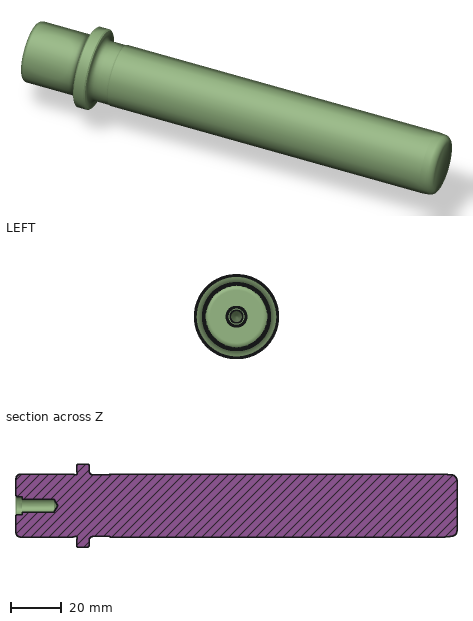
import cadquery as cq
import math

total_length = 174.0
shaft_radius = 12.5

spigot_fillet = 2.0

collar_start = 24.0
collar_width = 5.0
collar_radius = 16.5
collar_chamfer = 0.5
collar_end = collar_start + collar_width

undercut_depth = 0.3
undercut_length = 1.4
undercut_face_reach = 0.85
undercut_face_depth = 0.2
undercut_fillet = 0.6

neck_radius = 12.25
neck_fillet = 1.5
neck_end = 37.3
neck_ramp = 0.5

lead_length = 5.0
lead_drop = 0.25
tip_fillet = 2.5

hole_radius = 2.5
hole_depth = 15.0
hole_point_angle = 118.0
recess_radius = 3.5
recess_depth = 2.5
recess_chamfer = 0.5


def fillet_mid(radius):
    """Distance from the sharp corner, along each side, to the middle of a quarter-round."""
    return radius * (1 - math.sqrt(0.5))


def make_body():
    """Half profile (X along the axis, Z as radius) revolved about the X axis."""
    undercut_radius = shaft_radius - undercut_depth
    undercut_floor = collar_start + undercut_face_depth
    undercut_mid = fillet_mid(undercut_fillet)
    face_radius = shaft_radius + undercut_face_reach
    spigot_mid = fillet_mid(spigot_fillet)
    neck_mid = fillet_mid(neck_fillet)
    tip_mid = fillet_mid(tip_fillet)
    tip_radius = shaft_radius - lead_drop
    profile = (
        cq.Workplane("XZ")
        .moveTo(0, 0)
        .lineTo(0, shaft_radius - spigot_fillet)
        .threePointArc((spigot_mid, shaft_radius - spigot_mid), (spigot_fillet, shaft_radius))
        .lineTo(collar_start - undercut_length, shaft_radius)
        .lineTo(undercut_floor - undercut_fillet, undercut_radius)
        .threePointArc(
            (undercut_floor - undercut_mid, undercut_radius + undercut_mid),
            (undercut_floor, undercut_radius + undercut_fillet),
        )
        .lineTo(collar_start, face_radius)
        .lineTo(collar_start, collar_radius - collar_chamfer)
        .lineTo(collar_start + collar_chamfer, collar_radius)
        .lineTo(collar_end - collar_chamfer, collar_radius)
        .lineTo(collar_end, collar_radius - collar_chamfer)
        .lineTo(collar_end, neck_radius + neck_fillet)
        .threePointArc(
            (collar_end + neck_mid, neck_radius + neck_mid),
            (collar_end + neck_fillet, neck_radius),
        )
        .lineTo(neck_end - neck_ramp, neck_radius)
        .lineTo(neck_end, shaft_radius)
        .lineTo(total_length - lead_length, shaft_radius)
        .lineTo(total_length - tip_fillet, tip_radius)
        .threePointArc(
            (total_length - tip_mid, tip_radius - tip_mid),
            (total_length, tip_radius - tip_fillet),
        )
        .lineTo(total_length, 0)
        .close()
    )
    return profile.revolve(360, (0, 0, 0), (1, 0, 0))


def make_centre_hole():
    """Blind drilled hole with a conical bottom, behind a flat-floored recess with a chamfered mouth."""
    point_length = hole_radius / math.tan(math.radians(hole_point_angle / 2))
    profile = (
        cq.Workplane("XZ")
        .moveTo(0, 0)
        .lineTo(0, recess_radius + recess_chamfer)
        .lineTo(recess_chamfer, recess_radius)
        .lineTo(recess_depth, recess_radius)
        .lineTo(recess_depth, hole_radius)
        .lineTo(hole_depth, hole_radius)
        .lineTo(hole_depth + point_length, 0)
        .close()
    )
    return profile.revolve(360, (0, 0, 0), (1, 0, 0))


result = make_body().cut(make_centre_hole())